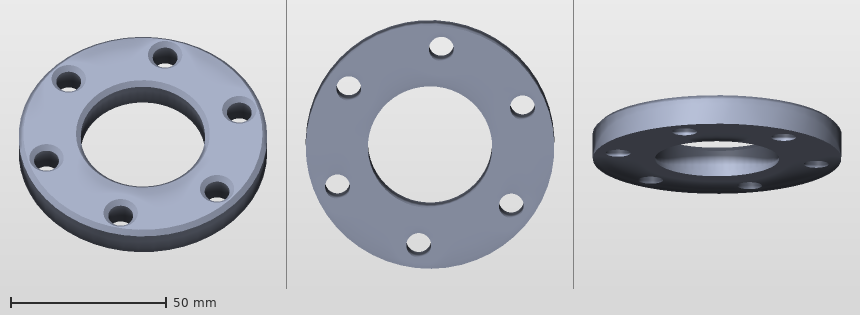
import cadquery as cq

outer_diameter = 80.0
thickness = 10.0
bore_diameter = 40.0
chamfer_size = 1.5
bolt_hole_diameter = 8.0
bolt_hole_count = 6
bolt_circle_radius = 32.5

disc = cq.Workplane("XY").circle(outer_diameter / 2).extrude(thickness)
ring = disc.faces(">Z").workplane().hole(bore_diameter)

drilled_ring = (
    ring.faces(">Z")
    .workplane()
    .polarArray(bolt_circle_radius, 0, 360, bolt_hole_count)
    .hole(bolt_hole_diameter)
)

result = drilled_ring.faces(">Z").edges().chamfer(chamfer_size)